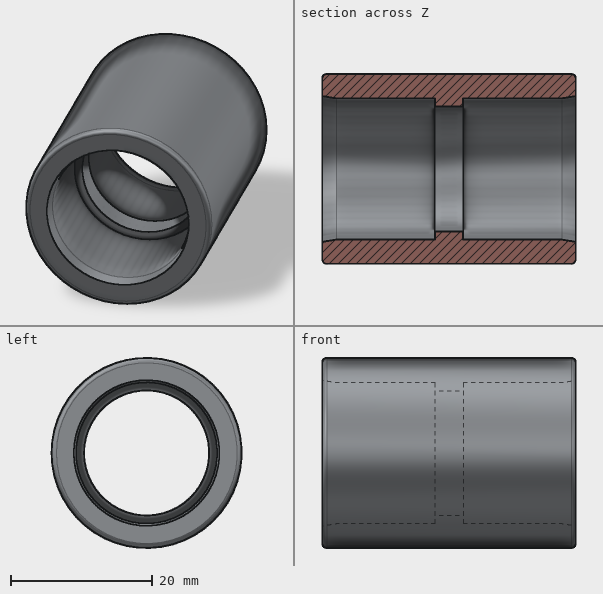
import cadquery as cq

length = 36.0
outer_diameter = 27.0
socket_diameter = 20.0
stop_diameter = 17.7
mouth_diameter = 20.65
lead_in_depth = 2.0
stop_width = 4.05
rim_radius = 0.7
socket_depth = (length - stop_width) / 2


def make_cylinder(diameter):
    """Full-length cylinder along X, centred on the origin."""
    return cq.Workplane("YZ", origin=(-length / 2, 0, 0)).circle(diameter / 2).extrude(length)


def make_body():
    """Solid cylinder with rounded outer rims, centred on the origin."""
    return make_cylinder(outer_diameter).edges("%CIRCLE").fillet(rim_radius)


def make_socket():
    """Cutter for the -X socket: a tapered lead-in, then a straight bore to the stop."""
    mouth_x = -length / 2
    lead_in_x = mouth_x + lead_in_depth
    stop_x = mouth_x + socket_depth
    return (
        cq.Workplane("XY")
        .moveTo(mouth_x, 0)
        .lineTo(mouth_x, mouth_diameter / 2)
        .lineTo(lead_in_x, socket_diameter / 2)
        .lineTo(stop_x, socket_diameter / 2)
        .lineTo(stop_x, 0)
        .close()
        .revolve(360, (0, 0, 0), (1, 0, 0))
    )


through_bore = make_cylinder(stop_diameter)
socket = make_socket()
result = make_body().cut(through_bore).cut(socket).cut(socket.mirror("YZ"))